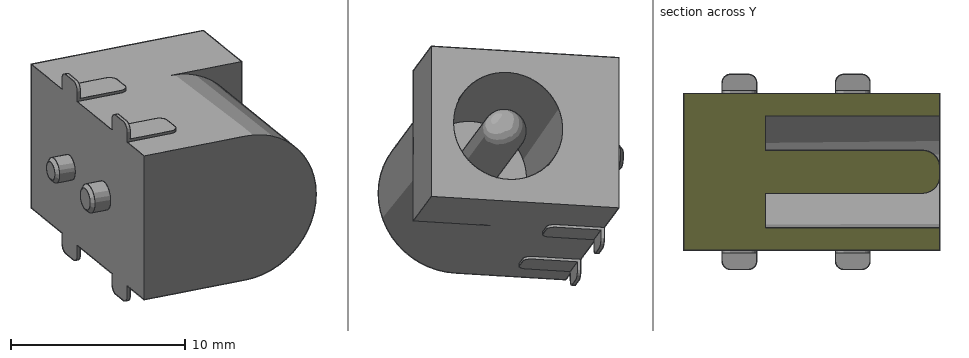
import cadquery as cq

body_length = 14.7
body_depth = 11.0
body_height = 9.0
collar_length = 5.0
barrel_radius = body_height / 2
axis_y = body_depth - barrel_radius

socket_diameter = 6.4
socket_depth = 10.0
pin_diameter = 2.5
pin_tip_radius = 1.0

tab_width = 2.0
tab_centers_x = (5.0, 11.5)
tab_rise = 3.3
tab_reach = 1.1
wall_leaf_thickness = 0.16
foot_thickness = 0.2
tab_corner_radius = 0.5

pegs = ((5.0, 1.5), (9.5, 1.7))
peg_length = 1.2
peg_chamfer = 0.2


def make_housing():
    collar = cq.Workplane("XY").box(
        collar_length, body_depth, body_height, centered=(False, False, True)
    )
    rear = cq.Workplane("XY").box(
        body_length, axis_y, body_height, centered=(False, False, True)
    )
    barrel = (
        cq.Workplane("YZ")
        .center(axis_y, 0)
        .circle(barrel_radius)
        .extrude(body_length)
    )
    return collar.union(rear).union(barrel)


def make_socket():
    return cq.Workplane("YZ").center(axis_y, 0).circle(socket_diameter / 2).extrude(socket_depth)


def make_pin():
    return (
        cq.Workplane("YZ", origin=(0, axis_y, 0))
        .circle(pin_diameter / 2)
        .extrude(socket_depth)
        .faces("<X")
        .edges()
        .fillet(pin_tip_radius)
    )


def make_upper_tab(center_x):
    """Tab on the +Z wall, with its free corners rounded."""
    wall_z = body_height / 2
    leaf = (
        cq.Workplane("XY", origin=(center_x, 0, wall_z))
        .box(tab_width, tab_rise, wall_leaf_thickness, centered=(True, False, False))
        .edges("|Z and >Y")
        .fillet(tab_corner_radius)
    )
    foot = (
        cq.Workplane("XY", origin=(center_x, 0, wall_z))
        .box(tab_width, foot_thickness, tab_reach, centered=(True, False, False))
        .edges("|Y and >Z")
        .fillet(tab_corner_radius)
    )
    return leaf.union(foot)


def make_peg(center_x, diameter):
    return (
        cq.Workplane("XZ", origin=(center_x, 0, 0))
        .circle(diameter / 2)
        .extrude(peg_length)
        .faces("<Y")
        .chamfer(peg_chamfer)
    )


result = make_housing().cut(make_socket()).union(make_pin())

for tab_x in tab_centers_x:
    upper_tab = make_upper_tab(tab_x)
    result = result.union(upper_tab).union(upper_tab.mirror("XY"))

for peg_x, peg_diameter in pegs:
    result = result.union(make_peg(peg_x, peg_diameter))